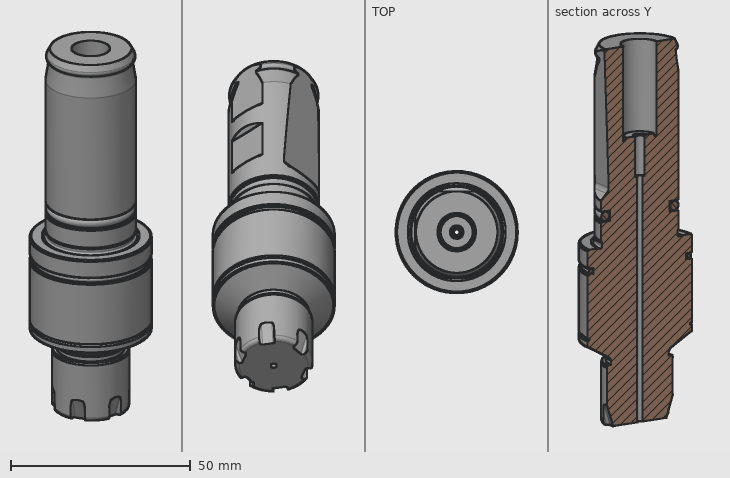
import cadquery as cq
import math

total_length = 109.1
shank_radius = 12.7
flange_radius = 17.0

head_face_radius = 11.3
lip_radius = 12.4
lip_top_radius = 12.3
lip_top_z = 107.2
lip_middle_z = 106.6
relief_radius = 11.8
relief_top_z = 105.7
relief_bottom_z = 105.3
taper_bottom_z = 99.6

undercut_radius = 12.3
undercut_top_z = 54.0
undercut_neck_z = 53.3
undercut_fillet = 0.7
undercut_outer_radius = 13.6
undercut_depth = 0.2

flange_top_z = 52.0
flange_chamfer = 0.4
marking_groove_z = 26.1
marking_groove_depth = 0.7
marking_groove_width = 0.9
rim_bottom_z = 24.0
rim_chamfer = 0.2
cone_top_z = rim_bottom_z - rim_chamfer
cone_top_radius = 16.6
cone_bottom_z = 20.0
cone_bottom_radius = 10.0
neck_radius = 9.5
neck_top_z = 19.2

nut_radius = 10.8
nut_top_z = 17.9
nut_top_chamfer_height = 0.7
nut_top_chamfer_width = 0.2
nut_round = 1.2

groove_edge_chamfer = 0.3
shank_ring_z = 60.9
shank_ring_section = 1.4
shank_ring_outer_radius = shank_radius
flange_ring_z = 45.7
flange_ring_section = 0.8
flange_ring_outer_radius = 16.7

notch_angle = 2.0
notch_run_out_angle = 45.0
notch_corner_x = -10.1
notch_corner_z = 68.1
notch_fillet = 2.1

flat_y = 11.3
flat_run_out_angle = 35.0
land_top_z = 91.5
land_bottom_z = 83.7
lower_flat_bottom_z = 71.4

bore_radius = 5.3
boss_base_radius = 5.0
boss_top_radius = 4.5
boss_height = 0.9
bore_depth = 27.3
passage_radius = 1.4
passage_chamfer = 0.4
passage_depth = 10.9
outlet_radius = 0.82

slot_count = 6
slot_width = 4.3
slot_fillet = 0.7
slot_tilt = 18.0
slot_top_z = 6.4

clearance = 5.5


def groove_cutter(surface_radius, ring_z, ring_section, ring_outer_radius):
    """Revolved groove that an O-ring fills, with chamfered edges at the surface."""
    floor_radius = ring_outer_radius - 2 * ring_section
    mouth = ring_section + groove_edge_chamfer
    outline = (
        cq.Workplane("XZ")
        .moveTo(floor_radius, ring_z - ring_section)
        .lineTo(surface_radius - groove_edge_chamfer, ring_z - ring_section)
        .lineTo(surface_radius, ring_z - mouth)
        .lineTo(surface_radius + clearance, ring_z - mouth)
        .lineTo(surface_radius + clearance, ring_z + mouth)
        .lineTo(surface_radius, ring_z + mouth)
        .lineTo(surface_radius - groove_edge_chamfer, ring_z + ring_section)
        .lineTo(floor_radius, ring_z + ring_section)
        .close()
    )
    return outline.revolve(360, (0, 0, 0), (0, 1, 0))


def o_ring(ring_z, ring_section, ring_outer_radius):
    """Round-section ring resting on the floor of its groove."""
    section = cq.Workplane("XZ").center(ring_outer_radius - ring_section, ring_z).circle(ring_section)
    axis_start = (ring_section - ring_outer_radius, 0, 0)
    axis_end = (ring_section - ring_outer_radius, 1, 0)
    return section.revolve(360, axis_start, axis_end)


def turned_blank():
    """Outer turned shape from the nut face up to the shank head."""
    undercut_floor_z = flange_top_z - undercut_depth
    rim_radius = flange_radius - rim_chamfer
    groove_half_width = marking_groove_width / 2
    outline = (
        cq.Workplane("XZ")
        .moveTo(0, 0)
        .lineTo(nut_radius - nut_round, 0)
        .radiusArc((nut_radius, nut_round), -nut_round)
        .lineTo(nut_radius, nut_top_z - nut_top_chamfer_height)
        .lineTo(nut_radius - nut_top_chamfer_width, nut_top_z)
        .lineTo(neck_radius, nut_top_z)
        .lineTo(neck_radius, neck_top_z)
        .lineTo(cone_bottom_radius, cone_bottom_z)
        .lineTo(cone_top_radius, cone_top_z)
        .lineTo(rim_radius, cone_top_z)
        .lineTo(flange_radius, rim_bottom_z)
        .lineTo(flange_radius, marking_groove_z - groove_half_width)
        .lineTo(flange_radius - marking_groove_depth, marking_groove_z)
        .lineTo(flange_radius, marking_groove_z + groove_half_width)
        .lineTo(flange_radius, flange_top_z - flange_chamfer)
        .lineTo(flange_radius - flange_chamfer, flange_top_z)
        .lineTo(undercut_outer_radius, flange_top_z)
        .lineTo(undercut_radius + undercut_fillet, undercut_floor_z)
        .radiusArc((undercut_radius, undercut_floor_z + undercut_fillet), undercut_fillet)
        .lineTo(undercut_radius, undercut_neck_z)
        .lineTo(shank_radius, undercut_top_z)
        .lineTo(shank_radius, taper_bottom_z)
        .lineTo(relief_radius, relief_bottom_z)
        .lineTo(relief_radius, relief_top_z)
        .threePointArc((lip_radius, lip_middle_z), (lip_top_radius, lip_top_z))
        .lineTo(head_face_radius, total_length)
        .lineTo(0, total_length)
        .close()
    )
    return outline.revolve(360, (0, 0, 0), (0, 1, 0))


def tilted_flat_cutter():
    """Flat leaning outward toward the head, with a rounded 45 degree run-out at its foot."""
    height = total_length + clearance - notch_corner_z
    top_x = notch_corner_x - height * math.tan(math.radians(notch_angle))
    far_x = -shank_radius - clearance
    run_out_z = notch_corner_z - (notch_corner_x - far_x) * math.tan(math.radians(notch_run_out_angle))
    cutter = (
        cq.Workplane("XZ")
        .moveTo(notch_corner_x, notch_corner_z)
        .lineTo(top_x, total_length + clearance)
        .lineTo(far_x, total_length + clearance)
        .lineTo(far_x, run_out_z)
        .close()
        .extrude(shank_radius, both=True)
    )
    corner = cq.selectors.NearestToPointSelector((notch_corner_x, 0, notch_corner_z))
    return cutter.edges(corner).fillet(notch_fillet)


def plain_flat_cutter(bottom_z, top_z, top_flare):
    """Flat on the +Y side with sloped run-outs; the top one only where top_flare is set."""
    reach = shank_radius + clearance - flat_y
    run_out = reach * math.tan(math.radians(flat_run_out_angle))
    upper_z = top_z + (run_out if top_flare else 0)
    return (
        cq.Workplane("YZ")
        .moveTo(flat_y, bottom_z)
        .lineTo(flat_y + reach, bottom_z - run_out)
        .lineTo(flat_y + reach, upper_z)
        .lineTo(flat_y, top_z)
        .close()
        .extrude(shank_radius, both=True)
    )


def bore_cutter():
    """Stepped coolant bore open at both ends, with a low tapered boss left on its floor."""
    floor_z = total_length - bore_depth
    boss_top_z = floor_z + boss_height
    passage_z = floor_z - passage_depth
    outline = (
        cq.Workplane("XZ")
        .moveTo(0, 0)
        .lineTo(outlet_radius, 0)
        .lineTo(outlet_radius, passage_z)
        .lineTo(passage_radius, passage_z)
        .lineTo(passage_radius, boss_top_z - passage_chamfer)
        .lineTo(passage_radius + passage_chamfer, boss_top_z)
        .lineTo(boss_top_radius, boss_top_z)
        .lineTo(boss_base_radius, floor_z)
        .lineTo(bore_radius, floor_z)
        .lineTo(bore_radius, total_length)
        .lineTo(0, total_length)
        .close()
    )
    return outline.revolve(360, (0, 0, 0), (0, 1, 0))


def slot_cutter():
    """Spanner slot on the +X side, its floor leaning inward toward the nut face."""
    length = slot_top_z + clearance
    return (
        cq.Workplane("XY")
        .box(clearance, slot_width, 2 * length, centered=(False, True, True))
        .edges("<X and |Z")
        .fillet(slot_fillet)
        .rotate((0, 0, 0), (0, 1, 0), slot_tilt)
        .translate((nut_radius, 0, slot_top_z))
    )


holder = (
    turned_blank()
    .cut(groove_cutter(shank_radius, shank_ring_z, shank_ring_section, shank_ring_outer_radius))
    .cut(groove_cutter(flange_radius, flange_ring_z, flange_ring_section, flange_ring_outer_radius))
    .cut(tilted_flat_cutter())
    .cut(plain_flat_cutter(land_top_z, total_length + clearance, top_flare=False))
    .cut(plain_flat_cutter(lower_flat_bottom_z, land_bottom_z, top_flare=True))
    .cut(bore_cutter())
)
for index in range(slot_count):
    slot_angle = index * 360 / slot_count
    holder = holder.cut(slot_cutter().rotate((0, 0, 0), (0, 0, 1), slot_angle))

shank_o_ring = o_ring(shank_ring_z, shank_ring_section, shank_ring_outer_radius)
flange_o_ring = o_ring(flange_ring_z, flange_ring_section, flange_ring_outer_radius)

result = cq.Compound.makeCompound([holder.val(), shank_o_ring.val(), flange_o_ring.val()])